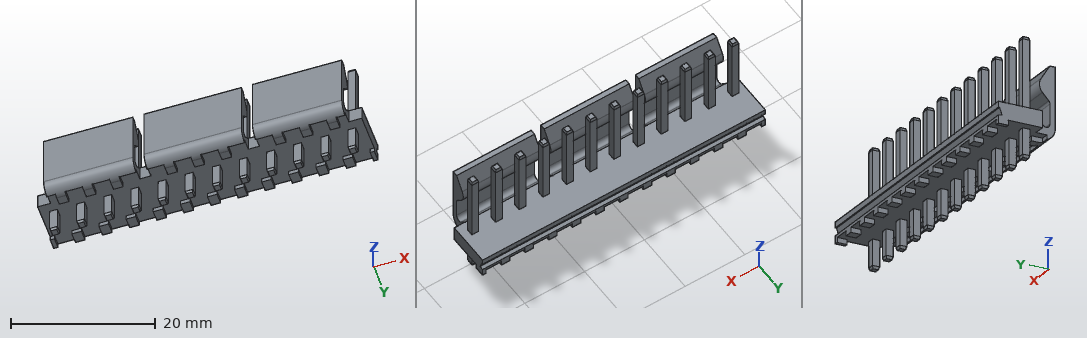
import cadquery as cq

pin_count = 12
end_margin = 1.9
pin_width = 1.15
pin_top = 13.9
pin_bottom = -4.4
tip_length = 0.45
tip_inset = 0.15

body_length = 47.35
body_back = 5.1
body_front = -1.85
body_height = 2.55

groove_top = 1.65
groove_bottom = 0.47
groove_lip_depth = 0.2
groove_depth = 0.55
groove_root_z = 0.6

foot_height = 0.75
back_foot_depth = 1.55
channel_width = 2.55
channel_front = -3.55

clip_front = -4.9
clip_thickness = 0.85
clip_top = 10.5
clip_gap = 1.6
pins_per_clip = 4
bend_radius = 1.9
trough_corner_z = 0.15
trough_radius = 0.6
nose_corner_y = -1.95
nose_corner_z = 7.25
nose_radius = 1.7
neck_corner_z = 5.0
neck_radius = 0.65

row_length = body_length - 2 * end_margin
pin_pitch = row_length / (pin_count - 1)
pin_positions = [i * pin_pitch - row_length / 2 for i in range(pin_count)]
clip_inner = clip_front + clip_thickness


def extrude_along_x(points, x_start, x_end):
    """Extrude a closed (y, z) outline from x_start to x_end."""
    outline = cq.Workplane("YZ", origin=(x_start, 0, 0)).polyline(points).close()
    return outline.extrude(x_end - x_start)


def block(x_range, y_range, z_range):
    """Box between the given limits on each axis."""
    (x0, x1), (y0, y1), (z0, z1) = x_range, y_range, z_range
    return cq.Workplane("XY").box(x1 - x0, y1 - y0, z1 - z0, centered=False).translate((x0, y0, z0))


def make_body():
    """Bar with the hooked groove in its back face and a foot rail below its back edge."""
    outline = [
        (body_front, 0),
        (body_back - back_foot_depth, 0),
        (body_back - back_foot_depth, -foot_height),
        (body_back, -foot_height),
        (body_back, groove_bottom),
        (body_back - groove_depth, groove_root_z),
        (body_back - groove_lip_depth, groove_top),
        (body_back, groove_top),
        (body_back, body_height),
        (body_front, body_height),
    ]
    return extrude_along_x(outline, -body_length / 2, body_length / 2)


def make_clip(x_start, x_end):
    """J-shaped spring clip with a rounded latching nose facing the pins."""
    outline = [
        (body_front, -foot_height),
        (clip_front, -foot_height),
        (clip_front, clip_top),
        (clip_inner, clip_top),
        (nose_corner_y, nose_corner_z),
        (clip_inner, neck_corner_z),
        (clip_inner, trough_corner_z),
        (body_front, body_height),
    ]
    rounded_corners = [
        (clip_front, -foot_height, bend_radius),
        (nose_corner_y, nose_corner_z, nose_radius),
        (clip_inner, neck_corner_z, neck_radius),
        (clip_inner, trough_corner_z, trough_radius),
    ]
    clip = extrude_along_x(outline, x_start, x_end)
    x_middle = (x_start + x_end) / 2
    for y, z, radius in rounded_corners:
        corner = cq.selectors.NearestToPointSelector((x_middle, y, z))
        clip = clip.edges("|X").edges(corner).fillet(radius)
    return clip


def make_channel(x):
    """Clearance around one pin, cut through the feet from back to front."""
    x_range = (x - channel_width / 2, x + channel_width / 2)
    return block(x_range, (channel_front, body_back), (-foot_height, 0))


def make_pin(x):
    """Square pin with both tips tapered."""
    tip_width = pin_width - 2 * tip_inset
    shank_bottom = pin_bottom + tip_length
    shank_top = pin_top - tip_length
    pin = cq.Workplane("XY", origin=(x, 0, shank_bottom)).rect(pin_width, pin_width)
    pin = pin.extrude(shank_top - shank_bottom)
    for base, end in ((shank_top, pin_top), (shank_bottom, pin_bottom)):
        tip = cq.Workplane("XY", origin=(x, 0, base)).rect(pin_width, pin_width)
        tip = tip.workplane(offset=end - base).rect(tip_width, tip_width).loft(combine=True)
        pin = pin.union(tip)
    return pin


gap_centre = pins_per_clip * pin_pitch / 2
clip_spans = [
    (pin_positions[0], -gap_centre - clip_gap / 2),
    (-gap_centre + clip_gap / 2, gap_centre - clip_gap / 2),
    (gap_centre + clip_gap / 2, pin_positions[-1]),
]

result = make_body()
for clip_start, clip_end in clip_spans:
    result = result.union(make_clip(clip_start, clip_end))
for pin_x in pin_positions:
    result = result.cut(make_channel(pin_x))
for pin_x in pin_positions:
    result = result.union(make_pin(pin_x))